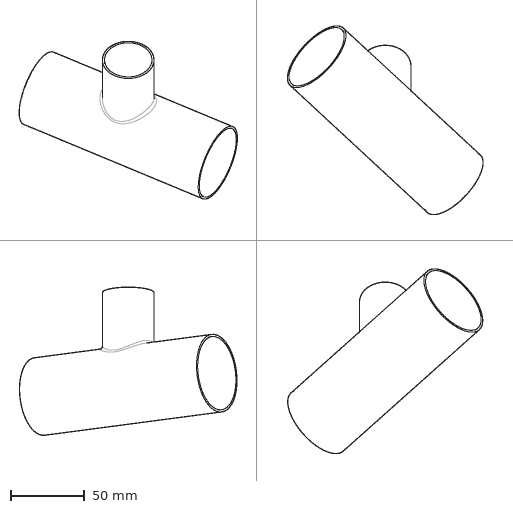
import cadquery as cq

run_length = 140.0
run_outer_diameter = 53.0
run_inner_diameter = 50.0
branch_outer_diameter = 35.0
branch_inner_diameter = 32.0
overall_height = 90.5
junction_fillet = 2.0

branch_top = overall_height - run_outer_diameter / 2


def run_cylinder(diameter):
    """Cylinder along X over the full length of the run pipe."""
    return cq.Workplane("YZ").circle(diameter / 2).extrude(run_length / 2, both=True)


def branch_cylinder(diameter):
    """Vertical cylinder from the run axis to the branch opening."""
    return cq.Workplane("XY").circle(diameter / 2).extrude(branch_top)


def outer_body():
    """Solid tee with a fillet around the saddle-shaped junction."""
    body = run_cylinder(run_outer_diameter).union(branch_cylinder(branch_outer_diameter))
    half_width = branch_outer_diameter / 2
    junction_zone = cq.selectors.BoxSelector(
        (-half_width, -half_width, run_outer_diameter / 4),
        (half_width, half_width, (run_outer_diameter / 2 + branch_top) / 2),
        boundingbox=False,
    )
    junction = body.edges(junction_zone).edges("not %LINE")
    return junction.fillet(junction_fillet)


result = outer_body().cut(run_cylinder(run_inner_diameter)).cut(branch_cylinder(branch_inner_diameter))